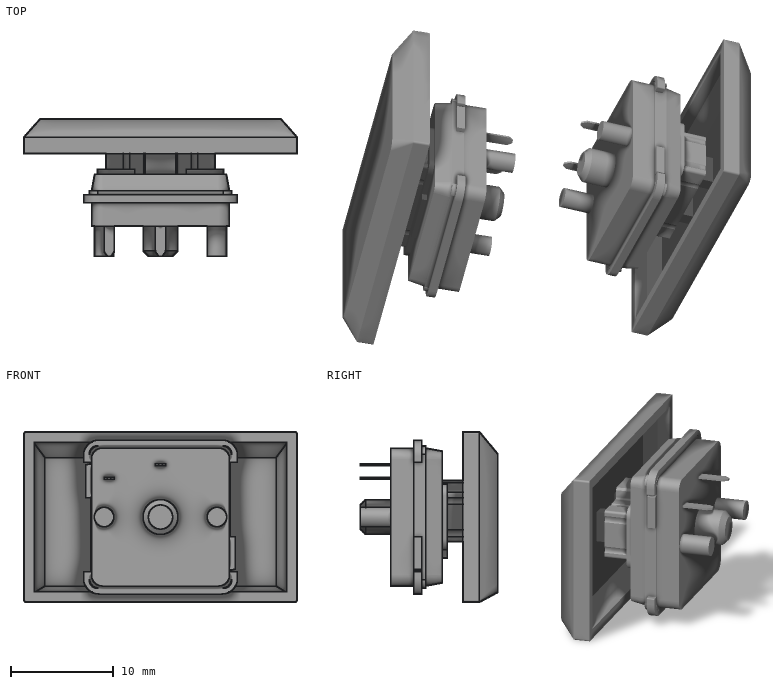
import cadquery as cq
import math


base_top = 2.25
flange_thick = 0.8
flange_top = base_top + flange_thick
waist_top = flange_top + 0.4
cover_top = waist_top + 1.6
rim_top = cover_top + 0.5
cap_open = 7.05
cap_bend = cap_open + 1.62
cap_top = 10.45
stem_top = 8.05

base_size = 13.44
base_corner = 1.05
waist_size = base_size + 0.11
waist_corner = 0.6
flange_size = 15.0
flange_corner = 1.5
flange_end = 5.33
flange_end_round = 0.1
latch_reach = 7.27
latch_low = 1.9
latch_high = 5.2
latch_slant = 0.12
ridge_center = 6.11
ridge_outer = 0.84
ridge_thick = 0.06
groove_depth = 0.2
leg_length = 2.95
post_dia = 3.4
post_chamfer = 0.52
peg_dia = 1.9
peg_spacing = 11.0

pin_width = 1.0
pin_thick = 0.2
pin_tip_width = 0.35
pin_tip_length = 0.45
pin_places = [(0, 5.08), (-5.0, 3.8)]

cover_inset = 0.3
rim_half_x = 6.15
rim_half_z = 3.2
rim_corner = 1.03
rim_gap = 5.0
rim_gap_round = 0.1
rim_tail_z = 4.0

stem_half_x = 5.33
stem_half_z = 2.42
stem_corner = 0.24
stem_groove_width = 0.64
stem_groove_depth = 0.12
side_groove_z = 1.58
face_groove_x = 3.33
bulge_half_x = 1.65
bulge_z = 3.56
bulge_root = 0.22
bulge_bevel_x = 0.17
bulge_bevel_z = 0.24

cap_width = 26.6
cap_height = 16.6
cap_corner = 0.2
cap_wall = 1.0
cap_side_inset = 1.58
cap_upper_inset = 2.15
cap_lower_inset = 0.96
cap_low_corner = 0.85
prong_width = 1.2
prong_height = 3.0
prong_spacing = 5.7
prong_depth = 1.5


def plane_at(y):
    return cq.Workplane("XZ", origin=(0, y, 0))


def block(x0, x1, y0, y1, z0, z1):
    """Plain box between two opposite corners."""
    return cq.Workplane("XY").box(x1 - x0, y1 - y0, z1 - z0, centered=False).translate((x0, y0, z0))


def rounded_plate(size_x, size_z, corner, y0, y1):
    plate = plane_at(y0).rect(size_x, size_z).extrude(y0 - y1)
    return plate.edges("|Y").fillet(corner)


def rod(x, z, radius, y0, y1):
    return plane_at(y0).center(x, z).circle(radius).extrude(y0 - y1)


def section(y, half_x, z_low, z_high, r_low, r_high):
    """Closed outline at height y with its own radius for the lower and upper corners."""
    d_low = r_low * (1 - math.sqrt(0.5))
    d_high = r_high * (1 - math.sqrt(0.5))
    outline = (
        plane_at(y)
        .moveTo(-half_x + r_low, z_low)
        .lineTo(half_x - r_low, z_low)
        .threePointArc((half_x - d_low, z_low + d_low), (half_x, z_low + r_low))
        .lineTo(half_x, z_high - r_high)
        .threePointArc((half_x - d_high, z_high - d_high), (half_x - r_high, z_high))
        .lineTo(-half_x + r_high, z_high)
        .threePointArc((-half_x + d_high, z_high - d_high), (-half_x, z_high - r_high))
        .lineTo(-half_x, z_low + r_low)
        .threePointArc((-half_x + d_low, z_low + d_low), (-half_x + r_low, z_low))
        .close()
    )
    return outline.val()


def loft(*sections):
    return cq.Workplane(cq.Solid.makeLoft(list(sections), True))


def flange():
    """Flange ring with its left and right sides removed between the corner tabs."""
    ring = rounded_plate(flange_size, flange_size, flange_corner, base_top, flange_top)
    half = flange_size / 2
    for side in (-1, 1):
        x0, x1 = sorted((side * waist_size / 2, side * half))
        ring = ring.cut(block(x0, x1, base_top, flange_top, -flange_end, flange_end))
        for end in (-1, 1):
            corner = cq.selectors.NearestToPointSelector(
                (side * half, (base_top + flange_top) / 2, end * flange_end))
            ring = ring.edges("|Y").edges(corner).fillet(flange_end_round)
    return ring


def latch():
    """Side latch on the -X face, slanted at its upper end."""
    root = waist_size / 2
    return (
        plane_at(base_top)
        .polyline([
            (-root, latch_low),
            (-latch_reach, latch_low),
            (-latch_reach, latch_high - latch_slant),
            (-root, latch_high),
        ])
        .close()
        .extrude(-flange_thick)
    )


def corner_arc(sign_x, sign_z, y0, y1):
    """Thin quarter ring that follows one housing corner."""
    cx = sign_x * ridge_center
    cz = sign_z * ridge_center
    ring = rod(cx, cz, ridge_outer, y0, y1).cut(rod(cx, cz, ridge_outer - ridge_thick, y0, y1))
    x0, x1 = sorted((cx, cx + sign_x * ridge_outer))
    z0, z1 = sorted((cz, cz + sign_z * ridge_outer))
    return ring.intersect(block(x0, x1, y0, y1, z0, z1))


def make_lower_housing():
    body = rounded_plate(base_size, base_size, base_corner, 0, base_top)
    body = body.union(rounded_plate(waist_size, waist_size, waist_corner, base_top, waist_top))
    body = body.union(flange())
    body = body.union(latch()).union(latch().rotate((0, 0, 0), (0, 1, 0), 180))
    for sign_x in (-1, 1):
        for sign_z in (-1, 1):
            body = body.union(corner_arc(sign_x, sign_z, flange_top, waist_top))
            body = body.cut(corner_arc(sign_x, sign_z, base_top, base_top + groove_depth))
    post = rod(0, 0, post_dia / 2, -leg_length, 0).faces("<Y").chamfer(post_chamfer)
    body = body.union(post)
    for x in (-peg_spacing / 2, peg_spacing / 2):
        body = body.union(rod(x, 0, peg_dia / 2, -leg_length, 0))
    return body


def make_terminal(x, z):
    """Flat pin under the base with a tapered tip."""
    half = pin_width / 2
    tip = pin_tip_width / 2
    return (
        cq.Workplane("XY", origin=(x, 0, z - pin_thick / 2))
        .polyline([
            (-half, 0),
            (-half, -leg_length + pin_tip_length),
            (-tip, -leg_length),
            (tip, -leg_length),
            (half, -leg_length + pin_tip_length),
            (half, 0),
        ])
        .close()
        .extrude(pin_thick)
    )


def prongs(y0, y1):
    pair = cq.Workplane("XZ", origin=(0, y0, 0)).pushPoints([(-prong_spacing / 2, 0), (prong_spacing / 2, 0)])
    return pair.rect(prong_width, prong_height).extrude(y0 - y1)


def stem_bulge():
    """Raised middle of the +Z face: flared root, bevelled outer edges."""
    root_x = bulge_half_x + bulge_root
    root_z = stem_half_z + bulge_root
    bend = bulge_root * (1 - math.sqrt(0.5))
    right_flare = (bulge_half_x + bend, stem_half_z + bend)
    return (
        plane_at(waist_top)
        .moveTo(-root_x, stem_half_z)
        .threePointArc((-right_flare[0], right_flare[1]), (-bulge_half_x, root_z))
        .lineTo(-bulge_half_x, bulge_z - bulge_bevel_z)
        .lineTo(-bulge_half_x + bulge_bevel_x, bulge_z)
        .lineTo(bulge_half_x - bulge_bevel_x, bulge_z)
        .lineTo(bulge_half_x, bulge_z - bulge_bevel_z)
        .lineTo(bulge_half_x, root_z)
        .threePointArc(right_flare, (root_x, stem_half_z))
        .close()
        .extrude(waist_top - stem_top)
    )


def stem_envelope():
    """Stem without its grooves and sockets."""
    core = rounded_plate(2 * stem_half_x, 2 * stem_half_z, stem_corner, waist_top, stem_top)
    return core.union(stem_bulge())


def make_stem():
    body = stem_envelope()
    radius = ((stem_groove_width / 2) ** 2 + stem_groove_depth ** 2) / (2 * stem_groove_depth)
    outset = radius - stem_groove_depth
    groove_centers = (
        (stem_half_x + outset, side_groove_z),
        (face_groove_x, stem_half_z + outset),
    )
    for sx in (-1, 1):
        for sz in (-1, 1):
            for x, z in groove_centers:
                body = body.cut(rod(sx * x, sz * z, radius, rim_top, stem_top))
    return body.cut(prongs(stem_top - prong_depth, stem_top))


def make_upper_housing():
    half = base_size / 2
    top_half = half - cover_inset
    top_corner = base_corner - cover_inset
    body = loft(
        section(waist_top, half, -half, half, base_corner, base_corner),
        section(cover_top, top_half, -top_half, top_half, top_corner, top_corner),
    )
    rim = rounded_plate(2 * rim_half_x, 2 * rim_half_z, rim_corner, cover_top, rim_top)
    gap = block(-rim_gap / 2, rim_gap / 2, cover_top, rim_top, 0, rim_half_z)
    rim = rim.cut(gap)
    for side in (-1, 1):
        inner_corner = cq.selectors.NearestToPointSelector(
            (side * rim_gap / 2, (cover_top + rim_top) / 2, rim_half_z))
        rim = rim.edges("|Y").edges(inner_corner).fillet(rim_gap_round)
    tail = block(-rim_gap / 2, rim_gap / 2, cover_top, rim_top, -rim_tail_z, 0)
    return body.union(rim).union(tail).cut(stem_envelope())


def pocket_inset(run, y):
    """Inset at height y of the inner slope, one wall thickness inside the outer slope."""
    slope = run / (cap_top - cap_bend)
    return slope * (y - cap_bend) + cap_wall * math.hypot(1, slope)


def pocket_section(y):
    half_x = cap_width / 2 - pocket_inset(cap_side_inset, y)
    z_low = -cap_height / 2 + pocket_inset(cap_lower_inset, y)
    z_high = cap_height / 2 - pocket_inset(cap_upper_inset, y)
    outline = plane_at(y).center(0, (z_low + z_high) / 2).rect(2 * half_x, z_high - z_low)
    return outline.val()


def make_keycap():
    half_x = cap_width / 2
    half_z = cap_height / 2
    cap_floor = cap_top - cap_wall
    skirt = rounded_plate(cap_width, cap_height, cap_corner, cap_open, cap_bend)
    crown = loft(
        section(cap_bend, half_x, -half_z, half_z, cap_corner, cap_corner),
        section(cap_top, half_x - cap_side_inset, -half_z + cap_lower_inset,
                half_z - cap_upper_inset, cap_low_corner, cap_corner),
    )
    inner_x = half_x - cap_wall
    inner_z = half_z - cap_wall
    straight = block(-inner_x, inner_x, cap_open, cap_floor, -inner_z, inner_z)
    pocket = straight.intersect(loft(pocket_section(cap_open), pocket_section(cap_floor)))
    body = skirt.union(crown).cut(pocket)
    return body.union(prongs(stem_top - prong_depth, cap_floor))


lower_housing = make_lower_housing()
upper_housing = make_upper_housing()
stem = make_stem()
keycap = make_keycap()
terminals = [make_terminal(x, z) for x, z in pin_places]

result = cq.Compound.makeCompound([
    lower_housing.val(),
    upper_housing.val(),
    stem.val(),
    keycap.val(),
    *[terminal.val() for terminal in terminals],
])